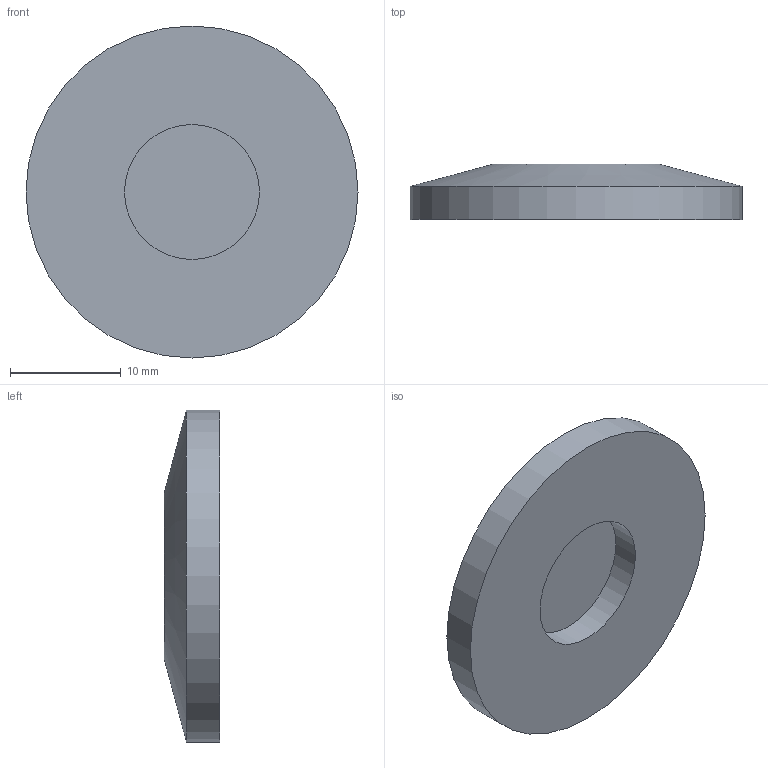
import cadquery as cq

disc_diameter = 30.0
total_thickness = 5.0
rim_thickness = 3.0
crown_diameter = 15.0
recess_diameter = 12.2
recess_depth = 2.5


def make_disc():
    """Disc with a straight rim and a conical back ending in a flat crown."""
    disc_radius = disc_diameter / 2
    crown_radius = crown_diameter / 2
    half_profile = (
        cq.Workplane("XY")
        .moveTo(0, 0)
        .lineTo(disc_radius, 0)
        .lineTo(disc_radius, rim_thickness)
        .lineTo(crown_radius, total_thickness)
        .lineTo(0, total_thickness)
        .close()
    )
    return half_profile.revolve(360, (0, 0, 0), (0, 1, 0))


def make_recess():
    """Cylinder that cuts the blind round recess into the flat face."""
    return cq.Workplane("XZ").circle(recess_diameter / 2).extrude(-recess_depth)


result = make_disc().cut(make_recess())